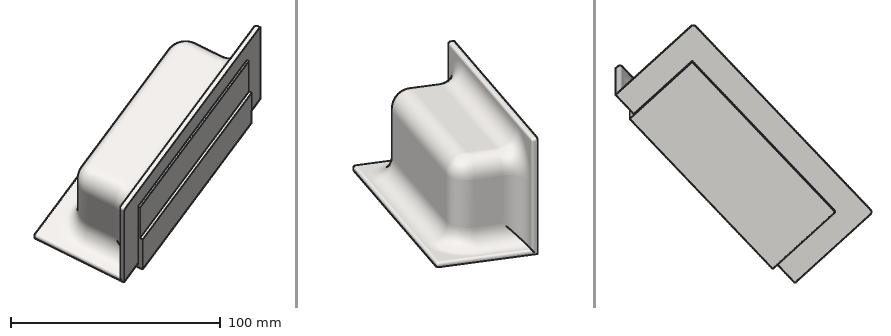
import cadquery as cq

length = 125.4
height = 62.7
depth = 53.4
rim = 12.7
backing_floor = 2.6
backing_wall = 2.6
backing_wall_thin = 1.1
backing_step_height = 25.0
floor_thickness = 2.4
wall_thickness = 3.0
body_radius = 10.0
flare_radius = 10.0
rim_radius = 1.5
heel_radius = 0.6
backing_heel_radius = 0.4

wall_back = depth - backing_wall
wall_front = wall_back - wall_thickness
floor_top = backing_floor + floor_thickness
body_length = length - 2 * rim
body_top = height - rim

tolerance = 0.1
joint_reach = length / 2 - tolerance


def block(x_min, x_max, width, z_min, z_max):
    """Box between the given X and Z limits, centred on Y = 0."""
    size_x = x_max - x_min
    size_z = z_max - z_min
    return cq.Workplane("XY").box(size_x, width, size_z, centered=(False, True, False)).translate(
        (x_min, 0, z_min)
    )


def make_flanges():
    """L-shaped floor and wall with rounded exposed edges and corners."""
    outer = block(0, wall_back, length, backing_floor, height)
    outer = outer.edges("|Y and >X and <Z").fillet(heel_radius)
    flanges = outer.cut(block(0, wall_front, length, floor_top, height))
    floor_face = cq.selectors.NearestToPointSelector((wall_front / 2, 0, floor_top))
    wall_face = cq.selectors.NearestToPointSelector((wall_front, 0, (floor_top + height) / 2))
    inner_corner = cq.selectors.NearestToPointSelector((wall_front, 0, floor_top))
    rim_edges = flanges.faces(floor_face).edges().add(flanges.faces(wall_face).edges())
    rim_edges = rim_edges.edges(cq.selectors.InverseSelector(inner_corner))
    corner_edges = flanges.edges("(|Z and <X) or (|X and >Z)")
    return rim_edges.add(corner_edges).fillet(rim_radius)


def make_body():
    """Raised body, rounded on its front, top and side edges."""
    body = block(rim, wall_back, body_length, backing_floor, body_top)
    return body.edges("(|Z and <X) or (|X and >Z) or (|Y and <X and >Z)").fillet(body_radius)


def make_flared_body():
    """Body blended into the floor and into the wall; the two blends meet in a mitre."""
    body = make_body()
    floor = block(0, wall_front, length, backing_floor, floor_top)
    wall = block(wall_front, wall_back, length, floor_top, height)
    front_space = block(0, wall_front, length, floor_top, height)
    front_body = body.intersect(front_space)
    floor_joint = cq.selectors.BoxSelector(
        (tolerance, -joint_reach, floor_top - tolerance),
        (wall_front - tolerance, joint_reach, floor_top + tolerance),
    )
    wall_joint = cq.selectors.BoxSelector(
        (wall_front - tolerance, -joint_reach, floor_top + tolerance),
        (wall_front + tolerance, joint_reach, height - tolerance),
    )
    floor_flare = front_body.union(floor).edges(floor_joint).fillet(flare_radius)
    wall_flare = front_body.union(wall).edges(wall_joint).fillet(flare_radius)
    return floor_flare.union(wall_flare).intersect(front_space)


def make_backing():
    """Stepped backing under the floor and behind the wall."""
    lower = block(rim, depth, body_length, 0, backing_step_height)
    lower = lower.edges("|Y and >X and <Z").fillet(backing_heel_radius)
    lower = lower.cut(block(rim, wall_front, body_length, floor_top, height))
    upper = block(wall_front, wall_back + backing_wall_thin, body_length, backing_step_height, body_top)
    return lower.union(upper)


result = make_flanges().union(make_flared_body()).union(make_backing())